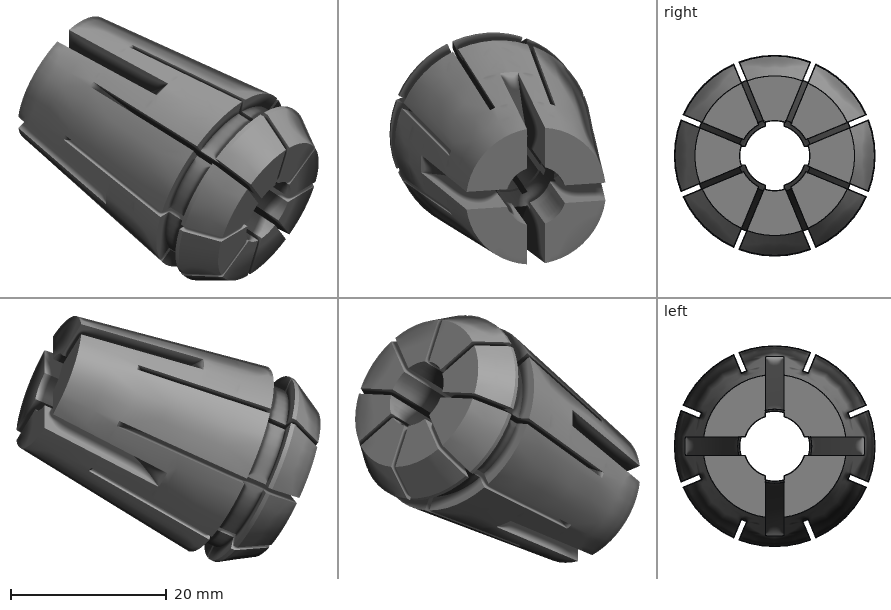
import cadquery as cq
import math

length = 34.0

rear_radius = 9.2
body_diameter = 25.8
body_radius = body_diameter / 2
body_end = 25.9
groove_radius = 10.98
groove_end = 29.0
rim_radius = 12.82
rim_flat = 0.58
nose_angle = 30.0
rim_end = groove_end + rim_flat
nose_radius = rim_radius - (length - rim_end) * math.tan(math.radians(nose_angle))

guide_radius = 3.98
relief_radius = 4.75
grip_radius = 4.5
relief_start = 9.18
relief_end = 17.0

cutter_radius = 19.5
rear_slot_count = 4
rear_slot_width = 2.38
rear_cutter_height = 20.5
rear_slot_end = 16.5
front_slot_count = 8
front_slot_width = 0.75
front_cutter_height = 22.45
front_slot_end = 7.95
overshoot = 0.35


def taper_radius(x):
    """Outside radius of the tapered body at a given X."""
    return rear_radius + (body_radius - rear_radius) * x / body_end


def make_turned_body():
    outline = [
        (0, 0),
        (0, rear_radius),
        (body_end, body_radius),
        (body_end, groove_radius),
        (groove_end, groove_radius),
        (groove_end, rim_radius),
        (rim_end, rim_radius),
        (length, nose_radius),
        (length, 0),
    ]
    return cq.Workplane("XZ").polyline(outline).close().revolve(360, (0, 0), (1, 0))


def make_bore():
    outline = [
        (0, 0),
        (0, guide_radius),
        (relief_start, guide_radius),
        (relief_start, relief_radius),
        (relief_end, relief_radius),
        (relief_end, grip_radius),
        (length, grip_radius),
        (length, 0),
    ]
    return cq.Workplane("XZ").polyline(outline).close().revolve(360, (0, 0), (1, 0))


def make_slot(open_end, closed_end, width, cutter_height):
    """Slot on the +Y side, open at one X and rounded by the cutter where it closes."""
    toward_closed = math.copysign(1, closed_end - open_end)

    def cutter_reach(height):
        return math.sqrt(cutter_radius**2 - (cutter_height - height) ** 2)

    cutter_x = closed_end - toward_closed * cutter_reach(taper_radius(closed_end))

    def arc_point(height):
        return (cutter_x + toward_closed * cutter_reach(height), height)

    outer_height = body_radius + overshoot
    inner_height = guide_radius - overshoot
    past_open = open_end - toward_closed * overshoot
    return (
        cq.Workplane("XY")
        .moveTo(past_open, inner_height)
        .lineTo(*arc_point(inner_height))
        .threePointArc(arc_point((inner_height + outer_height) / 2), arc_point(outer_height))
        .lineTo(past_open, outer_height)
        .close()
        .extrude(width / 2, both=True)
    )


def cut_around_axis(body, cutter, count, first_angle):
    """Cut evenly spaced copies of a cutter turned about the X axis."""
    for index in range(count):
        angle = first_angle + index * 360 / count
        body = body.cut(cutter.rotate((0, 0, 0), (1, 0, 0), angle))
    return body


collet = make_turned_body().cut(make_bore())

rear_slot = make_slot(0, rear_slot_end, rear_slot_width, rear_cutter_height)
collet = cut_around_axis(collet, rear_slot, rear_slot_count, 0)

front_slot = make_slot(length, front_slot_end, front_slot_width, front_cutter_height)
collet = cut_around_axis(collet, front_slot, front_slot_count, 180 / front_slot_count)

result = collet